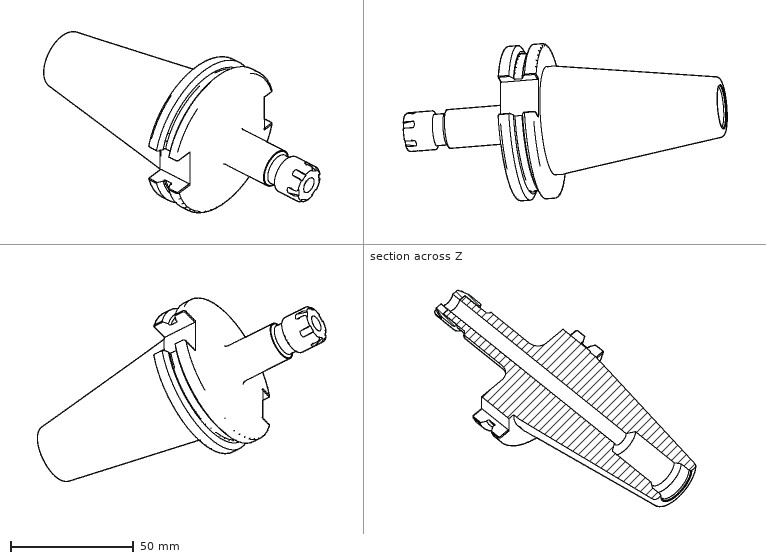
import cadquery as cq
import math


gauge_diameter = 44.45
taper_length = 68.25
taper_rate = 7 / 24
small_end_diameter = gauge_diameter - taper_length * taper_rate
small_end_fillet = 1.8

flange_start = 3.18
flange_end = 19.05
flange_diameter = 63.5
flange_fillet = 1.0
groove_center = 11.1
groove_mouth_width = 6.55
groove_neck_width = 3.7
groove_flank_angle = 30.0
groove_root_fillet = 0.4
groove_floor_diameter = 56.3
slot_width = 16.28
slot_edge_chamfer = 0.4
slot_floor_front = 22.6
slot_floor_back = 25.0

nose_diameter = 16.0
nose_end = 46.0
nose_fillet = 5.0
nose_bevel_length = 0.1
nose_bevel_depth = 0.4
neck_diameter = 13.0
neck_start = 47.0

nut_start = 51.4
nut_end = 63.5
nut_diameter = nose_diameter
nut_back_fillet = 0.8
nut_front_arc_radius = 1.5
nut_front_arc_length = 1.4
nut_front_wall = 4.0
neck_end = nut_end - nut_front_wall
wrench_slot_count = 6
wrench_slot_width = 2.8
wrench_slot_length = 4.9
wrench_slot_front_depth = 1.6

mouth_diameter = 18.15
mouth_bevel_diameter = 17.4
mouth_bevel_depth = 0.3
pilot_diameter = 16.68
pilot_start_depth = 0.95
pilot_depth = 5.4
pilot_step_diameter = 16.28
pilot_step_length = 0.2
drill_diameter = 13.4
pilot_cone_length = 2.2
drill_depth = 30.0
drill_point_angle = 118.0
through_diameter = 6.65


def revolve_about_axis(profile):
    """Revolve a profile drawn as (X, radius) about the X axis."""
    return profile.close().revolve(360, (0, 0, 0), (1, 0, 0))


def turned_body():
    small_radius = small_end_diameter / 2
    gauge_radius = gauge_diameter / 2
    flange_radius = flange_diameter / 2
    floor_radius = groove_floor_diameter / 2
    flank_width = (groove_mouth_width - groove_neck_width) / 2
    step_radius = flange_radius - flank_width / math.tan(math.radians(groove_flank_angle))
    nose_radius = nose_diameter / 2
    neck_radius = neck_diameter / 2
    relief_start = nose_end + nose_bevel_length
    relief_radius = nose_radius - nose_bevel_depth
    root = nose_fillet * (1 - math.sqrt(0.5))
    shank = revolve_about_axis(
        cq.Workplane("XY")
        .moveTo(-taper_length, 0)
        .lineTo(-taper_length, small_radius)
        .lineTo(0, gauge_radius)
        .lineTo(flange_end, gauge_radius)
        .lineTo(flange_end, 0)
    ).faces("<X").edges().fillet(small_end_fillet)
    groove_floor_left = groove_center - groove_neck_width / 2 + groove_root_fillet
    groove_floor_right = groove_center + groove_neck_width / 2 - groove_root_fillet
    groove_root_radius = floor_radius + groove_root_fillet
    flange = revolve_about_axis(
        cq.Workplane("XY")
        .moveTo(flange_start, 0)
        .lineTo(flange_start, flange_radius)
        .lineTo(groove_center - groove_mouth_width / 2, flange_radius)
        .lineTo(groove_center - groove_neck_width / 2, step_radius)
        .lineTo(groove_center - groove_neck_width / 2, groove_root_radius)
        .radiusArc((groove_floor_left, floor_radius), -groove_root_fillet)
        .lineTo(groove_floor_right, floor_radius)
        .radiusArc((groove_center + groove_neck_width / 2, groove_root_radius), -groove_root_fillet)
        .lineTo(groove_center + groove_neck_width / 2, step_radius)
        .lineTo(groove_center + groove_mouth_width / 2, flange_radius)
        .lineTo(flange_end, flange_radius)
        .lineTo(flange_end, 0)
    ).faces("<X or >X").edges().fillet(flange_fillet)
    nose = revolve_about_axis(
        cq.Workplane("XY")
        .moveTo(flange_end, 0)
        .lineTo(flange_end, nose_radius + nose_fillet)
        .threePointArc(
            (flange_end + root, nose_radius + root),
            (flange_end + nose_fillet, nose_radius),
        )
        .lineTo(nose_end, nose_radius)
        .lineTo(relief_start, relief_radius)
        .lineTo(neck_start, neck_radius)
        .lineTo(neck_end, neck_radius)
        .lineTo(neck_end, 0)
    )
    return shank.union(flange).union(nose)


def drive_slot(side, floor):
    """Cutter for one drive slot: the slot on the -Y (side = -1) or +Y (side = 1) flank."""
    length = flange_end - flange_start
    middle = (flange_start + flange_end) / 2
    depth = flange_diameter / 2 - floor
    slot = cq.Workplane("XY").box(length, depth, slot_width)
    return slot.translate((middle, side * (floor + depth / 2), 0))


def break_slot_edges(body):
    """Chamfer the slot walls where they meet the rims; the chamfer runs on along the flange faces."""
    rim_reach = math.sqrt((flange_diameter / 2) ** 2 - (slot_width / 2) ** 2)
    margin = 0.1
    rim_edges = cq.Workplane()
    for side in (-1, 1):
        y_limits = sorted((side * (rim_reach - margin), side * (rim_reach + margin)))
        box = cq.selectors.BoxSelector(
            (flange_start, y_limits[0], -slot_width),
            (flange_end, y_limits[1], slot_width),
        )
        rim_edges = rim_edges.add(body.edges("|X").edges(box))
    return body.newObject(rim_edges.vals()).chamfer(slot_edge_chamfer)


def bore():
    pilot_end = -taper_length + pilot_depth
    cone_start = pilot_end + pilot_step_length
    drill_start = cone_start + pilot_cone_length
    drill_end = -taper_length + drill_depth
    point_length = (drill_diameter - through_diameter) / 2 / math.tan(math.radians(drill_point_angle / 2))
    return revolve_about_axis(
        cq.Workplane("XY")
        .moveTo(-taper_length, 0)
        .lineTo(-taper_length, mouth_diameter / 2)
        .lineTo(-taper_length + mouth_bevel_depth, mouth_bevel_diameter / 2)
        .lineTo(-taper_length + pilot_start_depth, pilot_diameter / 2)
        .lineTo(pilot_end, pilot_diameter / 2)
        .lineTo(cone_start, pilot_step_diameter / 2)
        .lineTo(drill_start, drill_diameter / 2)
        .lineTo(drill_end, drill_diameter / 2)
        .lineTo(drill_end + point_length, through_diameter / 2)
        .lineTo(nut_end, through_diameter / 2)
        .lineTo(nut_end, 0)
    )


def make_holder():
    body = turned_body()
    body = body.cut(drive_slot(-1, slot_floor_front))
    body = body.cut(drive_slot(1, slot_floor_back))
    body = break_slot_edges(body)
    return body.cut(bore())


def wrench_slot(angle):
    """Cutter for one wrench slot: its floor ramps down from the nut surface to the front face."""
    surface = nut_diameter / 2
    slot = (
        cq.Workplane("XZ")
        .moveTo(nut_end - wrench_slot_length, surface)
        .lineTo(nut_end, surface - wrench_slot_front_depth)
        .lineTo(nut_end, surface + wrench_slot_front_depth)
        .lineTo(nut_end - wrench_slot_length, surface + wrench_slot_front_depth)
        .close()
        .extrude(wrench_slot_width / 2, both=True)
    )
    return slot.rotate((0, 0, 0), (1, 0, 0), angle)


def nut_blank():
    radius = nut_diameter / 2
    arc_start = nut_end - nut_front_arc_length
    arc_drop = nut_front_arc_radius - math.sqrt(nut_front_arc_radius**2 - nut_front_arc_length**2)
    blank = revolve_about_axis(
        cq.Workplane("XY")
        .moveTo(nut_start, 0)
        .lineTo(nut_start, radius)
        .lineTo(arc_start, radius)
        .radiusArc((nut_end, radius - arc_drop), nut_front_arc_radius)
        .lineTo(nut_end, 0)
    )
    return blank.faces("<X").edges().fillet(nut_back_fillet)


def make_nut():
    nut = nut_blank()
    for i in range(wrench_slot_count):
        nut = nut.cut(wrench_slot(90 + i * 360 / wrench_slot_count))
    recess = (
        cq.Workplane("YZ", origin=(nut_start, 0, 0)).circle(neck_diameter / 2).extrude(neck_end - nut_start)
    )
    return nut.cut(recess).cut(bore())


holder = make_holder()
nut = make_nut()

result = cq.Compound.makeCompound([holder.val(), nut.val()])